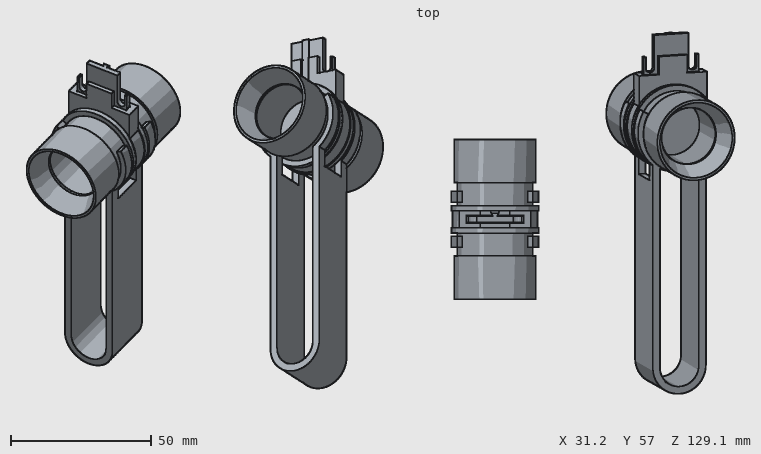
import cadquery as cq
import math

total_length = 57.0
cup_length = 15.5
cup_radius = 14.6
core_radius = 13.5
web_thickness = 3.9
flange_radius = 15.6
flange_outer_y = 4.9

mouth_diameter = 27.2
mouth_radius = mouth_diameter / 2
throat_radius = 10.26
mouth_depth = 8.0
throat_length = 1.0
core_half_length = total_length / 2 - mouth_depth - throat_length

holder_width = 6.0
holder_ring_radius = 15.2
block_width = 25.5
shoulder_z = 19.4
tower_width = 10.6
tower_top_z = 26.0
slot_width = 20.7
slot_gap = 2.7
slot_floor_z = 15.5

blade_top_z = 33.4
blade_width = 12.9
blade_thickness = 2.1
prong_top_z = 25.5
prong_thickness = 0.8
notch_bottom_z = 20.0
rib_outer_y = 2.2
rib_root_width = 1.5
groove_face_width = 3.2
rib_flare = (groove_face_width - rib_root_width) / (holder_width / 2 - blade_thickness / 2)

strap_width = 20.0
strap_outer_radius = 10.0
strap_thickness = 2.7
strap_inner_radius = strap_outer_radius - strap_thickness
strap_bottom_z = blade_top_z - 129.1
strap_bend_z = strap_bottom_z + strap_outer_radius
window_width = 12.0
window_bottom_z = -18.1
grip_radius = flange_radius
grip_end_angle = math.radians(30)


def cylinder_y(radius, y_start, y_end):
    """Cylinder about the Y axis between two Y positions."""
    return (
        cq.Workplane("XZ", origin=(0, y_start, 0))
        .circle(radius)
        .extrude(y_start - y_end)
    )


def box_between(width, depth, z_bottom, z_top):
    """Box centred on X and Y between two heights."""
    return (
        cq.Workplane("XY", origin=(0, 0, z_bottom))
        .rect(width, depth)
        .extrude(z_top - z_bottom)
    )


def make_core():
    """Tube ending inside the cups, with a closing web halfway along."""
    tube = cylinder_y(core_radius, -core_half_length, core_half_length)
    for side in (-1, 1):
        bore = cylinder_y(throat_radius, side * web_thickness / 2, side * core_half_length)
        tube = tube.cut(bore)
    return tube


def make_cup(side):
    """Cup on one core end, with a socket, a short throat and a flared mouth; side is -1 or +1 along Y."""
    outer_y = side * total_length / 2
    throat_outer_y = outer_y - side * mouth_depth
    socket_floor_y = side * core_half_length
    inner_y = outer_y - side * cup_length
    return (
        cq.Workplane("XY")
        .moveTo(core_radius, inner_y)
        .lineTo(cup_radius, inner_y)
        .lineTo(cup_radius, outer_y)
        .lineTo(mouth_radius, outer_y)
        .lineTo(throat_radius, throat_outer_y)
        .lineTo(throat_radius, socket_floor_y)
        .lineTo(core_radius, socket_floor_y)
        .close()
        .revolve(360, (0, 0, 0), (0, 1, 0))
    )


def make_flange(side):
    """Ring around the core, against one face of the holder."""
    inner_y = side * holder_width / 2
    outer_y = side * flange_outer_y
    ring = cylinder_y(flange_radius, inner_y, outer_y)
    return ring.cut(cylinder_y(core_radius, inner_y, outer_y))


def flared_prism(tip_y, z_top):
    """Prism up from the slot floor that widens from the blade face to tip_y."""
    root_y = blade_thickness / 2
    tip_width = rib_root_width + rib_flare * (tip_y - root_y)
    return (
        cq.Workplane("XY", origin=(0, 0, slot_floor_z))
        .moveTo(-rib_root_width / 2, root_y)
        .lineTo(rib_root_width / 2, root_y)
        .lineTo(tip_width / 2, tip_y)
        .lineTo(-tip_width / 2, tip_y)
        .close()
        .extrude(z_top - slot_floor_z)
    )


def make_holder():
    half_width = holder_width / 2
    ring = cylinder_y(holder_ring_radius, -half_width, half_width)
    block = box_between(block_width, holder_width, 0, shoulder_z)
    tower = box_between(tower_width, holder_width, shoulder_z, tower_top_z)
    core_bore = cylinder_y(core_radius, -half_width, half_width)
    slot = box_between(slot_width, slot_gap, slot_floor_z, tower_top_z)
    groove = flared_prism(half_width, tower_top_z)
    return ring.union(block).union(tower).cut(core_bore).cut(slot).cut(groove)


def make_blade():
    """Plate with a spring prong on each side and a flared rib on its +Y face."""
    plate = box_between(blade_width, blade_thickness, slot_floor_z, blade_top_z)
    base = box_between(slot_width, blade_thickness, slot_floor_z, prong_top_z)
    notch_outer_x = slot_width / 2 - prong_thickness
    notch_radius = (notch_outer_x - blade_width / 2) / 2
    notch_x = notch_outer_x - notch_radius
    notch_z = notch_bottom_z + notch_radius
    for side in (-1, 1):
        notch = (
            cq.Workplane("XZ", origin=(side * notch_x, 0, 0))
            .moveTo(-notch_radius, prong_top_z)
            .lineTo(-notch_radius, notch_z)
            .threePointArc((0, notch_bottom_z), (notch_radius, notch_z))
            .lineTo(notch_radius, prong_top_z)
            .close()
            .extrude(blade_thickness / 2, both=True)
        )
        base = base.cut(notch)
    rib = flared_prism(rib_outer_y, blade_top_z)
    return plate.union(base).union(rib)


def make_strap_leg(side):
    """Straight leg flowing into an arc that grips the core; side is -1 or +1 along X."""

    def polar(radius, angle):
        return side * radius * math.cos(angle), radius * math.sin(angle)

    outer_x = side * strap_outer_radius
    inner_x = side * strap_inner_radius
    grip_outer_z = -math.sqrt(grip_radius**2 - strap_outer_radius**2)
    grip_inner_z = -math.sqrt(core_radius**2 - strap_inner_radius**2)
    return (
        cq.Workplane("XZ")
        .moveTo(inner_x, strap_bend_z)
        .lineTo(outer_x, strap_bend_z)
        .lineTo(outer_x, grip_outer_z)
        .threePointArc((side * grip_radius, 0), polar(grip_radius, grip_end_angle))
        .lineTo(*polar(core_radius, grip_end_angle))
        .threePointArc((side * core_radius, 0), (inner_x, grip_inner_z))
        .close()
        .extrude(strap_width / 2, both=True)
    )


def make_strap():
    bend = (
        cq.Workplane("XZ")
        .moveTo(-strap_outer_radius, strap_bend_z)
        .threePointArc((0, strap_bottom_z), (strap_outer_radius, strap_bend_z))
        .lineTo(strap_inner_radius, strap_bend_z)
        .threePointArc(
            (0, strap_bend_z - strap_inner_radius),
            (-strap_inner_radius, strap_bend_z),
        )
        .close()
        .extrude(strap_width / 2, both=True)
    )
    window = box_between(2 * flange_radius, window_width, window_bottom_z, flange_radius)
    return bend.union(make_strap_leg(-1)).union(make_strap_leg(1)).cut(window)


core = make_core()
cups = [make_cup(side) for side in (-1, 1)]
flanges = [make_flange(side) for side in (-1, 1)]
holder = make_holder()
blade = make_blade()
strap = make_strap()

result = cq.Compound.makeCompound(
    [
        core.val(),
        *[cup.val() for cup in cups],
        *[flange.val() for flange in flanges],
        holder.val(),
        blade.val(),
        strap.val(),
    ]
)